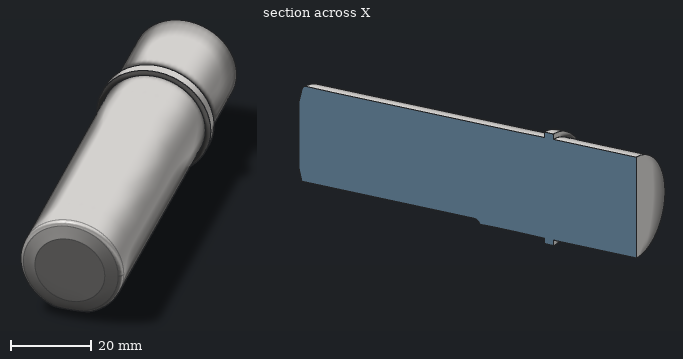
import cadquery as cq

length = 99.1
rear_diameter = 26.9
taper = 0.07

collar_diameter = 29.8
collar_rear = 24.3
collar_width = 2.8

tip_face_diameter = 18.2
tip_cone_depth = 1.1
tip_fillet = 1.4

flat_height = 12.2
flat_start = 47.7
flat_runout_radius = 1.8

rear_radius = rear_diameter / 2
tip_radius = rear_radius - taper
collar_front = collar_rear + collar_width


def make_body():
    """Cylindrical rear, slightly tapered front and coned, rounded tip."""
    body = (
        cq.Workplane("XY")
        .lineTo(rear_radius, 0)
        .lineTo(rear_radius, -collar_front)
        .lineTo(tip_radius, -(length - tip_cone_depth))
        .lineTo(tip_face_diameter / 2, -length)
        .lineTo(0, -length)
        .close()
        .revolve(360, (0, 0, 0), (0, 1, 0))
    )
    second_from_tip = ">>Y[1]"
    return body.edges("%CIRCLE").edges(second_from_tip).fillet(tip_fillet)


def make_collar():
    return (
        cq.Workplane("XZ", origin=(0, -collar_rear, 0))
        .circle(collar_diameter / 2)
        .extrude(collar_width)
    )


def make_flat_cutter():
    """Block below the flat, with a rounded run-out at its rear end."""
    block_length = length - flat_start
    block = (
        cq.Workplane("XY", origin=(0, -flat_start, -flat_height))
        .box(rear_diameter, block_length, collar_diameter, centered=(True, False, False))
        .translate((0, -block_length, -collar_diameter))
    )
    runout = (
        cq.Workplane("YZ", origin=(0, -flat_start, -flat_height - flat_runout_radius))
        .circle(flat_runout_radius)
        .extrude(rear_radius, both=True)
    )
    return block.union(runout)


result = make_body().cut(make_flat_cutter()).union(make_collar())